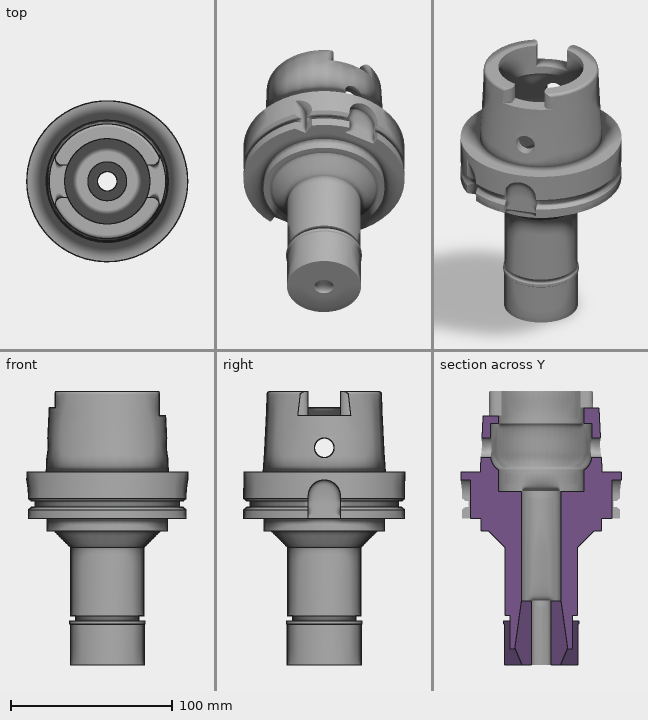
import cadquery as cq
import math


shank_length = 50.0
shank_base_radius = 38.0
shank_taper = 0.05
shank_rim_fillet = 2.0
shank_top_radius = shank_base_radius - shank_taper * shank_length

flange_radius = 50.0
flange_thickness = 29.0
groove_center_z = -20.0
groove_floor_radius = 46.0
groove_floor_width = 3.75
groove_lip_depth = 2.0
groove_lip_height = 1.6

collar_radius = 37.5
collar_bottom_z = -36.7
cone_top_radius = 32.9
neck_radius = 22.75
cone_bottom_z = collar_bottom_z - (cone_top_radius - neck_radius)
neck_bottom_z = -89.4
spigot_radius = 19.6
spigot_bottom_z = -110.0

bore_radius = 26.5
undercut_radius = 31.3
undercut_top_z = 30.0
undercut_bottom_z = 10.0
undercut_arc_radius = 10.0
bore_floor_z = -12.0

cross_hole_radius = 6.0
cross_hole_z = 15.0
key_half_width = 10.0
key_corner_radius = 4.3
key_shoulder_x = 32.3
left_key_depth = 10.0
right_key_depth = 15.0
slot_radius = 10.0
slot_top_z = -5.0
slot_floor_x = 44.0
notch_floor_x = 31.3
notch_center_y = 41.3

collet_bore_radius = 6.0
draw_bore_radius = 12.1
socket_top_z = -80.0
socket_half_angle = 8.0
socket_mouth_radius = draw_bore_radius + (
    socket_top_z - spigot_bottom_z
) * math.tan(math.radians(socket_half_angle))
collet_face_radius = draw_bore_radius

nut_radius = 23.0
nut_top_z = -92.5
nut_bottom_z = -120.0
ring_radius = 23.5
ring_height = 1.8
ring_bevel_height = 0.5


def revolve_profile(points):
    """Revolve a closed (radius, z) outline around the Z axis."""
    return cq.Workplane("XZ").polyline(points).close().revolve(360, (0, 0), (0, 1))


def turned_shank_and_body():
    shank = revolve_profile([
        (0, 0),
        (shank_base_radius, 0),
        (shank_top_radius, shank_length),
        (0, shank_length),
    ]).faces(">Z").edges().fillet(shank_rim_fillet)

    floor_top_z = groove_center_z + groove_floor_width / 2
    floor_bottom_z = groove_center_z - groove_floor_width / 2
    lip_radius = flange_radius - groove_lip_depth
    body = revolve_profile([
        (0, 0),
        (flange_radius, 0),
        (flange_radius, floor_top_z + groove_lip_height),
        (lip_radius, floor_top_z),
        (groove_floor_radius, floor_top_z),
        (groove_floor_radius, floor_bottom_z),
        (lip_radius, floor_bottom_z),
        (flange_radius, floor_bottom_z - groove_lip_height),
        (flange_radius, -flange_thickness),
        (collar_radius, -flange_thickness),
        (collar_radius, collar_bottom_z),
        (cone_top_radius, collar_bottom_z),
        (neck_radius, cone_bottom_z),
        (neck_radius, neck_bottom_z),
        (spigot_radius, neck_bottom_z),
        (spigot_radius, spigot_bottom_z),
        (0, spigot_bottom_z),
    ])
    return shank.union(body)


def shank_bore():
    """Bore with a wider chamber behind its mouth; a concave arc narrows it again below."""
    arc_run = undercut_radius - bore_radius
    arc_drop = math.sqrt(undercut_arc_radius**2 - (undercut_arc_radius - arc_run) ** 2)
    arc_bottom_z = undercut_bottom_z - arc_drop
    return (
        cq.Workplane("XZ")
        .moveTo(0, shank_length)
        .lineTo(bore_radius, shank_length)
        .lineTo(bore_radius, undercut_top_z)
        .lineTo(undercut_radius, undercut_top_z)
        .lineTo(undercut_radius, undercut_bottom_z)
        .radiusArc((bore_radius, arc_bottom_z), undercut_arc_radius)
        .lineTo(bore_radius, bore_floor_z)
        .lineTo(0, bore_floor_z)
        .close()
        .revolve(360, (0, 0), (0, 1))
    )


def collet_socket():
    """Draw bore that widens into the collet taper at the lower end."""
    return revolve_profile([
        (0, bore_floor_z),
        (draw_bore_radius, bore_floor_z),
        (draw_bore_radius, socket_top_z),
        (socket_mouth_radius, spigot_bottom_z),
        (0, spigot_bottom_z),
    ])


def key_slot(side, depth):
    """Key slot through the rim; it flares past rounded corners onto the shoulder flat."""
    cut_reach = flange_radius
    cut = (
        cq.Workplane("XY")
        .workplane(offset=shank_length - depth)
        .moveTo(0, -key_half_width)
        .lineTo(key_shoulder_x - key_corner_radius, -key_half_width)
        .radiusArc((key_shoulder_x, -key_half_width - key_corner_radius), key_corner_radius)
        .lineTo(key_shoulder_x, -cut_reach)
        .lineTo(cut_reach, -cut_reach)
        .lineTo(cut_reach, cut_reach)
        .lineTo(key_shoulder_x, cut_reach)
        .lineTo(key_shoulder_x, key_half_width + key_corner_radius)
        .radiusArc((key_shoulder_x - key_corner_radius, key_half_width), key_corner_radius)
        .lineTo(0, key_half_width)
        .close()
        .extrude(depth)
    )
    return cut if side > 0 else cut.mirror("YZ")


def flange_slot(side, floor_x, center_y):
    """Round-topped slot cut along X into the flange rim, open at the flange underside."""
    depth = flange_radius - floor_x
    arc_center_z = slot_top_z - slot_radius
    cut = (
        cq.Workplane("YZ")
        .workplane(offset=floor_x)
        .moveTo(center_y - slot_radius, -flange_thickness)
        .lineTo(center_y - slot_radius, arc_center_z)
        .threePointArc((center_y, slot_top_z), (center_y + slot_radius, arc_center_z))
        .lineTo(center_y + slot_radius, -flange_thickness)
        .close()
        .extrude(depth)
    )
    return cut if side > 0 else cut.mirror("YZ")


def make_holder():
    holder = turned_shank_and_body().cut(shank_bore()).cut(collet_socket())
    cross_hole = (
        cq.Workplane("YZ")
        .center(0, cross_hole_z)
        .circle(cross_hole_radius)
        .extrude(flange_radius, both=True)
    )
    holder = holder.cut(cross_hole)
    for side, key_depth in ((-1, left_key_depth), (1, right_key_depth)):
        holder = holder.cut(key_slot(side, key_depth))
        holder = holder.cut(flange_slot(side, slot_floor_x, 0))
    return holder.cut(flange_slot(-1, notch_floor_x, notch_center_y))


def make_collet():
    """Tapered collet whose nose narrows to the front face."""
    return revolve_profile([
        (collet_bore_radius, socket_top_z),
        (draw_bore_radius, socket_top_z),
        (socket_mouth_radius, spigot_bottom_z),
        (collet_face_radius, nut_bottom_z),
        (collet_bore_radius, nut_bottom_z),
    ])


def make_nut():
    """Nut around the spigot, with a thin ring at the top and a seat for the collet nose."""
    ring_bottom_z = nut_top_z - ring_height
    return revolve_profile([
        (spigot_radius, nut_top_z),
        (ring_radius, nut_top_z),
        (ring_radius, ring_bottom_z),
        (nut_radius, ring_bottom_z - ring_bevel_height),
        (nut_radius, nut_bottom_z),
        (collet_face_radius, nut_bottom_z),
        (socket_mouth_radius, spigot_bottom_z),
        (spigot_radius, spigot_bottom_z),
    ])


holder = make_holder()
collet = make_collet()
nut = make_nut()

result = cq.Compound.makeCompound([*holder.solids().vals(), collet.val(), nut.val()])